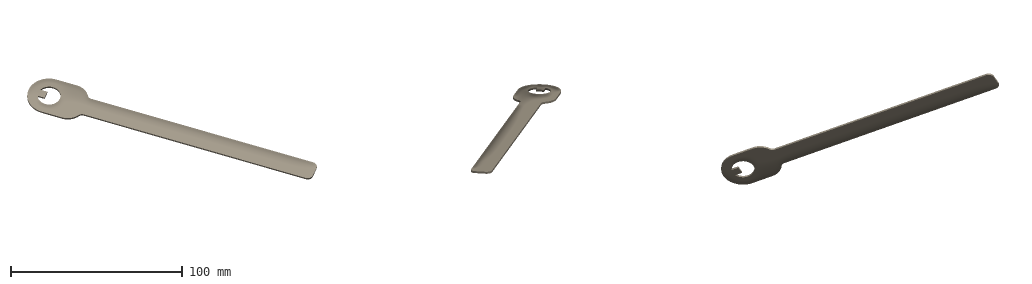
import cadquery as cq
import math

length = 178.0
thickness = 1.2

head_width = 25.5
head_radius = head_width / 2
shoulder_x = 25.5
shoulder_radius = 10.0
hole_x = 12.8
hole_diameter = 13.4
key_width = 4.8
key_tip_x = 10.9

strip_width = 12.5
tip_radius = 3.2
neck_radius = 3.0

head_end_x = shoulder_x + shoulder_radius


def make_head():
    """Head with a semicircular left end on the YZ plane and rounded shoulders."""
    return (
        cq.Workplane("XY")
        .moveTo(head_radius, -head_radius)
        .lineTo(head_end_x, -head_radius)
        .lineTo(head_end_x, head_radius)
        .lineTo(head_radius, head_radius)
        .threePointArc((0, 0), (head_radius, -head_radius))
        .close()
        .extrude(thickness)
        .edges("|Z and >X")
        .fillet(shoulder_radius)
    )


def make_strip():
    """Handle strip starting inside the head, with rounded free corners."""
    return (
        cq.Workplane("XY")
        .center((shoulder_x + length) / 2, 0)
        .rect(length - shoulder_x, strip_width)
        .extrude(thickness)
        .edges("|Z and >X")
        .fillet(tip_radius)
    )


def blend_neck(plate):
    """Fillet the two inner corners where the strip leaves the head."""
    shoulder_y = head_radius - shoulder_radius
    neck_x = shoulder_x + math.sqrt(shoulder_radius**2 - (strip_width / 2 - shoulder_y) ** 2)
    margin = 0.2
    neck_edges = cq.selectors.BoxSelector(
        (neck_x - margin, -strip_width, -margin),
        (neck_x + margin, strip_width, thickness + margin),
    )
    return plate.edges("|Z").edges(neck_edges).fillet(neck_radius)


def make_keyed_hole():
    """Round through hole less the square-ended key projecting into it."""
    hole = cq.Workplane("XY").center(hole_x, 0).circle(hole_diameter / 2).extrude(thickness)
    key = (
        cq.Workplane("XY")
        .center(key_tip_x / 2, 0)
        .rect(key_tip_x, key_width)
        .extrude(thickness)
    )
    return hole.cut(key)


plate = blend_neck(make_head().union(make_strip()))
result = plate.cut(make_keyed_hole())